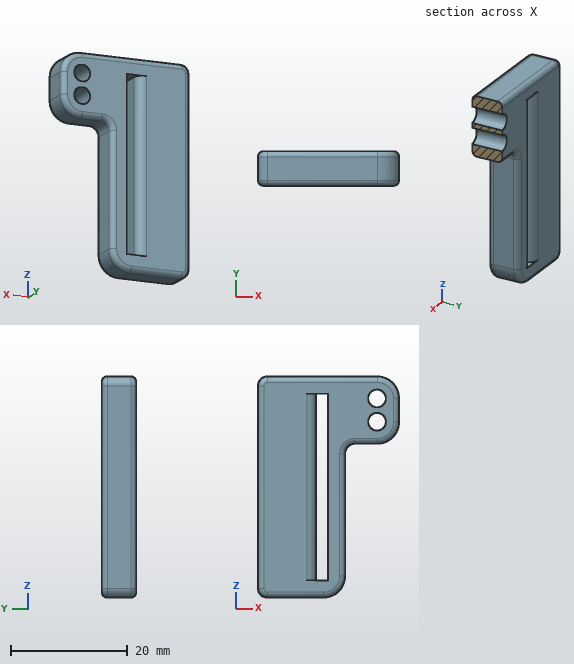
import cadquery as cq

thickness = 6.0
height = 38.0
body_width = 15.0
total_width = 24.25

outer_radius = 3.8
small_radius = 1.65
edge_radius = 1.0

hole_diameter = 3.0
hole_spacing = 4.0
tab_bottom = height - hole_spacing - 2 * outer_radius
hole_x = total_width - outer_radius
upper_hole_z = height - outer_radius
lower_hole_z = upper_hole_z - hole_spacing

slot_margin = 3.0
slot_width = 2.0
slot_length = height - 2 * slot_margin
slot_right = body_width - slot_margin
slot_left = slot_right - slot_width


def round_corners(plate, corners, radius):
    """Fillet the edges that run through the thickness at the given (x, z) corners."""
    for x, z in corners:
        corner_edge = cq.selectors.NearestToPointSelector((x, 0, z))
        plate = plate.edges("|Y").edges(corner_edge).fillet(radius)
    return plate


def make_plate():
    """Body with a tab at its upper right, centred on Y = 0, all edges rounded."""
    body_bottom_left = (0, 0)
    body_bottom_right = (body_width, 0)
    inside_corner = (body_width, tab_bottom)
    tab_bottom_right = (total_width, tab_bottom)
    tab_top_right = (total_width, height)
    body_top_left = (0, height)

    plate = (
        cq.Workplane("XZ")
        .polyline([
            body_bottom_left,
            body_bottom_right,
            inside_corner,
            tab_bottom_right,
            tab_top_right,
            body_top_left,
        ])
        .close()
        .extrude(thickness / 2, both=True)
    )
    plate = round_corners(plate, [body_bottom_left, body_top_left, inside_corner], small_radius)
    plate = round_corners(plate, [body_bottom_right, tab_bottom_right, tab_top_right], outer_radius)
    return plate.faces("<Y or >Y").edges().fillet(edge_radius)


def make_slot():
    """Cutter for the slot; its left wall curves away towards the front and back faces."""
    front = -thickness / 2
    back = thickness / 2
    flare_left = slot_left - small_radius
    return (
        cq.Workplane("XY", origin=(0, 0, slot_margin))
        .moveTo(slot_right, front)
        .lineTo(flare_left, front)
        .radiusArc((slot_left, front + small_radius), -small_radius)
        .lineTo(slot_left, back - small_radius)
        .radiusArc((flare_left, back), -small_radius)
        .lineTo(slot_right, back)
        .close()
        .extrude(slot_length)
    )


def make_holes():
    """Cutter for the two holes, one above the other in the tab."""
    return (
        cq.Workplane("XZ")
        .pushPoints([(hole_x, upper_hole_z), (hole_x, lower_hole_z)])
        .circle(hole_diameter / 2)
        .extrude(thickness / 2, both=True)
    )


result = make_plate().cut(make_slot()).cut(make_holes())